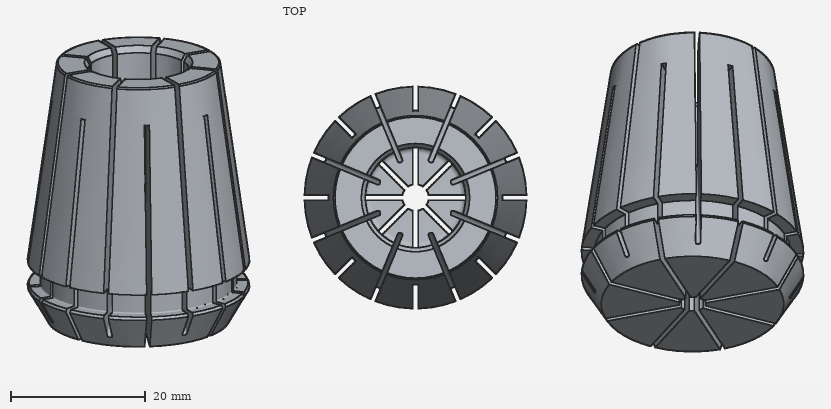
import cadquery as cq
import math

height = 40.0
max_diameter = 33.0
max_radius = max_diameter / 2

taper_angle = 8.0
taper_start = 9.1
top_chamfer = 0.25

groove_radius = 14.6
groove_floor_fillet = 0.2
flange_top = 5.55
flange_edge_rise = 0.45
flange_edge_run = 0.25
nose_angle = 30.0

bore_radius = 7.45
bore_floor = 20.4
bore_floor_fillet = 0.8
bore_mouth_radius = 8.05
bore_mouth_depth = 0.95
pilot_radius = 1.95

slots_per_set = 8
slot_pitch = 360.0 / slots_per_set
slot_width = 0.75
bottom_slot_top = 34.4
top_slot_floor_angle = 65.0
top_slot_floor_fillet = 0.3
top_slot_inner_radius = 5.7


def make_body():
    """Revolve the outer outline: nose cone, groove and clamping taper."""
    flange_edge = flange_top - flange_edge_rise
    nose_radius = max_radius - flange_edge * math.tan(math.radians(nose_angle))
    taper_slope = math.tan(math.radians(taper_angle))
    taper_end = height - top_chamfer
    taper_end_radius = max_radius - (taper_end - taper_start) * taper_slope
    return (
        cq.Workplane("XZ")
        .moveTo(0, 0)
        .lineTo(nose_radius, 0)
        .lineTo(max_radius, flange_edge)
        .lineTo(max_radius - flange_edge_run, flange_top)
        .lineTo(groove_radius + groove_floor_fillet, flange_top)
        .radiusArc((groove_radius, flange_top + groove_floor_fillet), groove_floor_fillet)
        .lineTo(groove_radius, taper_start)
        .lineTo(max_radius, taper_start)
        .lineTo(taper_end_radius, taper_end)
        .lineTo(taper_end_radius - top_chamfer, height)
        .lineTo(0, height)
        .close()
        .revolve(360, (0, 0, 0), (0, 1, 0))
    )


def make_bore():
    """Revolve the bore: chamfered mouth, filleted floor and pilot hole."""
    corner_shift = bore_floor_fillet * math.sqrt(0.5)
    fillet_middle = (
        bore_radius - bore_floor_fillet + corner_shift,
        bore_floor + bore_floor_fillet - corner_shift,
    )
    return (
        cq.Workplane("XZ")
        .moveTo(0, 0)
        .lineTo(pilot_radius, 0)
        .lineTo(pilot_radius, bore_floor)
        .lineTo(bore_radius - bore_floor_fillet, bore_floor)
        .threePointArc(fillet_middle, (bore_radius, bore_floor + bore_floor_fillet))
        .lineTo(bore_radius, height - bore_mouth_depth)
        .lineTo(bore_mouth_radius, height)
        .lineTo(0, height)
        .close()
        .revolve(360, (0, 0, 0), (0, 1, 0))
    )


def make_bottom_slot():
    """Square-ended slot from the axis outward, open at the bottom."""
    return cq.Workplane("XY").box(
        max_radius, slot_width, bottom_slot_top, centered=(False, True, False)
    )


def make_top_slot():
    """Slot open at the top, its round-cornered floor falling outward from the bore floor."""
    floor_drop = (max_radius - top_slot_inner_radius) * math.tan(math.radians(top_slot_floor_angle))
    return (
        cq.Workplane("XZ")
        .moveTo(top_slot_inner_radius, height)
        .lineTo(top_slot_inner_radius, bore_floor)
        .lineTo(max_radius, bore_floor - floor_drop)
        .lineTo(max_radius, height)
        .close()
        .extrude(slot_width / 2, both=True)
        .edges("not(|X or |Y or |Z)")
        .fillet(top_slot_floor_fillet)
    )


result = make_body().cut(make_bore())
bottom_slot = make_bottom_slot()
top_slot = make_top_slot()
for index in range(slots_per_set):
    angle = index * slot_pitch
    result = result.cut(bottom_slot.rotate((0, 0, 0), (0, 0, 1), angle))
    result = result.cut(top_slot.rotate((0, 0, 0), (0, 0, 1), angle + slot_pitch / 2))